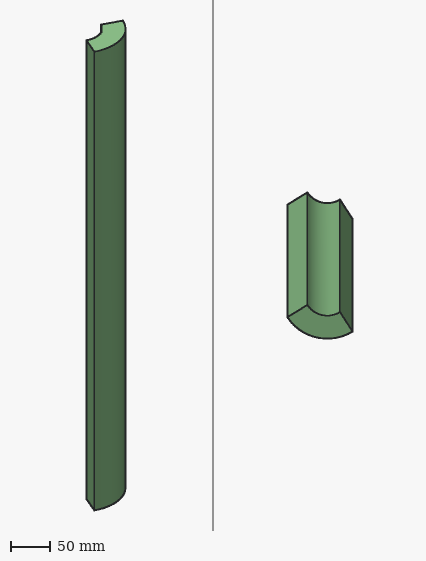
import cadquery as cq

outer_radius = 60.0
inner_radius = 30.0
length = 680.0
sector_angle = 90.0


def quarter_tube():
    """Sweep the rectangular wall section a quarter turn about the Z axis, from +X to +Y."""
    wall_thickness = outer_radius - inner_radius
    wall_section = (
        cq.Workplane("XZ")
        .moveTo(inner_radius, 0)
        .rect(wall_thickness, length, centered=False)
    )
    return wall_section.revolve(sector_angle, (0, 0, 0), (0, 1, 0))


result = quarter_tube()